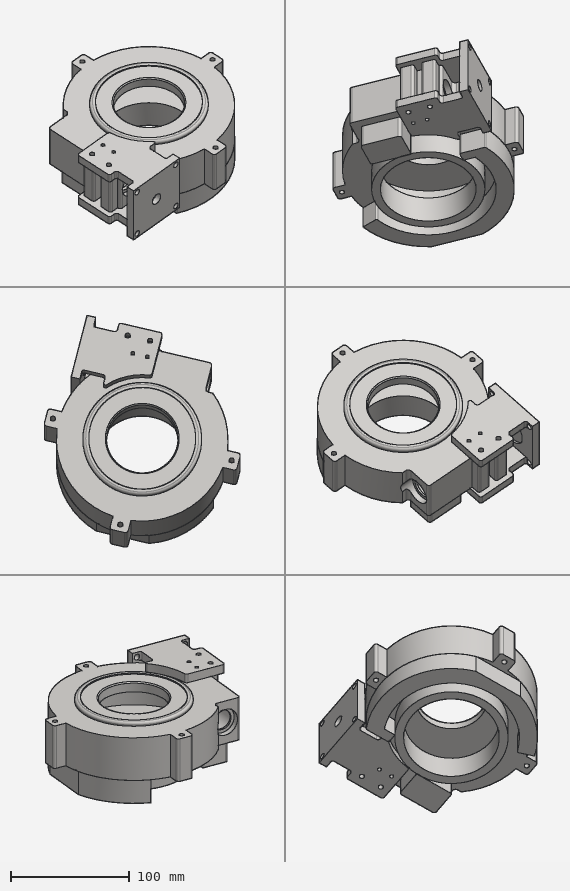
import cadquery as cq
import math

base_height = 21.5
lid_thickness = 5.0
wall_ring_height = 30.0
plate_thickness = 8.1
housing_height = wall_ring_height + 2 * lid_thickness
housing_bottom = base_height
housing_top = housing_bottom + housing_height
mid_height = housing_bottom + housing_height / 2
corner_radius = 2.5

disc_radius = 72.2
tab_reach = 83.5
tab_width = 15.5
tab_hole_distance = 77.5
screw_hole_diameter = 4.2
box_left = -41.1
box_right = 42.5
box_front = -79.5
shoulder_y = -54.0
inner_corner_radius = 3.2

lug_centers_x = (13.8, 33.2)
lug_width = 12.5
lug_front = -88.2
lug_hole_y = -83.8
lug_corner_radius = 2.1

rim_diameter = 100.0
rim_height = 3.5
rim_top = housing_top + rim_height
rim_recess_diameter = 90.0
rim_recess_depth = 1.0
top_opening_diameter = 60.0
opening_chamfer = 1.0
cavity_radius = 63.2
cavity_floor = housing_bottom + lid_thickness
cavity_ceiling = 54.7
bottom_opening_diameter = 80.5

overall_depth = 176.5
bracket_bottom = housing_bottom - plate_thickness
bracket_top = housing_top + plate_thickness
bracket_front = tab_reach - overall_depth
bracket_back = bracket_front + bracket_top - bracket_bottom
bracket_left = 5.3
motor_plate_front = 63.2
motor_plate_thickness = 7.5
motor_plate_back = motor_plate_front + motor_plate_thickness
worm_y = (bracket_front + bracket_back) / 2
flange_right = 42.9
notch_depth = 8.5
neck_front = bracket_front + notch_depth
neck_back = bracket_back - notch_depth
neck_overlap = 8.8
notch_radius = 2.0
plate_corner_radius = 2.1
horn_radius = 1.0
rim_clearance_radius = 54.7
motor_recess_diameter = 30.0
motor_recess_depth = 2.0
motor_shaft_diameter = 10.0
motor_hole_diameter = 5.3
motor_hole_spacing = 47.1
plate_hole_diameter = 3.2
plate_hole_y = -69.5
plate_holes_x = (12.7, 25.2)

seat_diameter = 24.0
seat_depth = 5.5
bearing_bore_diameter = 18.0
chamber_half_length = 33.9
chamber_diameter = 26.5

base_radius = 72.3
base_ring_radius = 47.6
base_ring_lift = 0.5
base_inner_radius = 57.2
base_back = 68.6
base_box_left = -33.7
base_box_right = 2.6
base_box_front = -72.3
base_box_back = -47.3
foot_left = 40.8
foot_front = -33.7
foot_back = -24.7
foot_corner_radius = 1.4
heel_angle = 160.0


def block(x0, x1, y0, y1, z0, z1):
    """Axis-aligned block between two opposite corners."""
    return cq.Workplane("XY").box(x1 - x0, y1 - y0, z1 - z0, centered=False).translate((x0, y0, z0))


def upright(points, diameter, z0, z1):
    """Vertical cylinders at the given points."""
    return cq.Workplane("XY").workplane(offset=z0).pushPoints(points).circle(diameter / 2).extrude(z1 - z0)


def along_x(diameter, x0, x1, y=worm_y, z=mid_height):
    """Cylinder parallel to the X axis."""
    return cq.Workplane("YZ", origin=(x0, y, z)).circle(diameter / 2).extrude(x1 - x0)


def fillet_edge_near(body, point, radius):
    """Round the edge whose middle lies nearest to the point."""
    return body.edges(cq.selectors.NearestToPointSelector(point)).fillet(radius)


def screw_holes(z0, z1):
    """Vertical screw holes shared by the lugs, the box and the flange plates."""
    lug_holes = upright([(x, lug_hole_y) for x in lug_centers_x], screw_hole_diameter, z0, z1)
    plate_holes = upright([(x, plate_hole_y) for x in plate_holes_x], plate_hole_diameter, z0, z1)
    return lug_holes.add(plate_holes).combine()


def tab(angle):
    """Mounting tab on the disc edge, pointing at the given angle."""
    arm = block(0, tab_reach, -tab_width / 2, tab_width / 2, housing_bottom, housing_top)
    arm = arm.edges("|Z and >X").fillet(corner_radius)
    hole = upright([(tab_hole_distance, 0)], screw_hole_diameter, housing_bottom, housing_top)
    return arm.cut(hole).rotate((0, 0, 0), (0, 0, 1), angle)


def shell():
    """Disc with the worm box, whose shoulders blend into the box sides."""
    body = upright([(0, 0)], 2 * disc_radius, housing_bottom, housing_top)
    body = body.cut(block(-disc_radius, disc_radius, -disc_radius, shoulder_y, housing_bottom, housing_top))
    body = body.union(block(box_left, box_right, box_front, 0, housing_bottom, housing_top))
    for side_x in (box_left, box_right):
        body = fillet_edge_near(body, (side_x, shoulder_y, mid_height), inner_corner_radius)
    return body.edges("|Z and <Y").fillet(corner_radius)


def lug(center_x):
    """Lug standing proud of the box front."""
    half = lug_width / 2
    bar = block(center_x - half, center_x + half, lug_front, box_front, housing_bottom, housing_top)
    return bar.edges("|Z and <Y").fillet(lug_corner_radius)


def rim():
    """Rounded rim with a shallow recess in its top."""
    ring = upright([(0, 0)], rim_diameter, housing_top, rim_top)
    ring = ring.edges(">Z").fillet(corner_radius)
    return ring.cut(upright([(0, 0)], rim_recess_diameter, rim_top - rim_recess_depth, rim_top))


def outer_base_ring():
    """Partial ring that ends in a radial heel on the left and a squared foot at the front right."""
    ring = upright([(0, 0)], 2 * base_radius, 0, base_height)
    ring = ring.cut(upright([(0, 0)], 2 * base_inner_radius, 0, base_height))
    foot = block(foot_left, base_radius, foot_front, foot_back, 0, base_height)
    foot = foot.intersect(upright([(0, 0)], 2 * base_radius, 0, base_height))
    ring = ring.cut(block(-base_radius, base_radius, base_back, base_radius, 0, base_height))
    turn = math.radians(heel_angle)
    reach = 2 * base_radius
    gap = (
        cq.Workplane("XY")
        .moveTo(0, foot_front)
        .lineTo(0, 0)
        .lineTo(reach * math.cos(turn), reach * math.sin(turn))
        .lineTo(-reach, -reach)
        .lineTo(reach, -reach)
        .lineTo(reach, foot_front)
        .close()
        .extrude(base_height)
    )
    ring = ring.cut(gap).union(foot)
    ring = ring.edges("|Z and <Y").fillet(foot_corner_radius)
    heel_inner_x = base_inner_radius * math.cos(turn)
    heel_inner_y = base_inner_radius * math.sin(turn)
    return fillet_edge_near(ring, (heel_inner_x, heel_inner_y, base_height / 2), foot_corner_radius)


def base():
    """Base below the housing: an inner ring, a partial outer ring and a separate front block."""
    box = block(base_box_left, base_box_right, base_box_front, base_box_back, 0, base_height)
    box = box.edges("|Z and <Y").fillet(corner_radius).edges("|Z and >Y").fillet(foot_corner_radius)
    inner_ring = upright([(0, 0)], 2 * base_ring_radius, base_ring_lift, base_height)
    return outer_base_ring().union(box).union(inner_ring)


def worm_bores():
    """Bearing seats and bores along the worm axis, running out past the box sides."""
    bores = along_x(bearing_bore_diameter, box_left, box_right)
    bores = bores.union(along_x(seat_diameter, -disc_radius, box_left + seat_depth))
    return bores.union(along_x(seat_diameter, box_right - seat_depth, disc_radius))


def openings():
    """Round cavity with its top and bottom openings, and the chamber around the worm."""
    recess_floor = rim_top - rim_recess_depth
    top_radius = top_opening_diameter / 2
    cuts = upright([(0, 0)], 2 * cavity_radius, cavity_floor, cavity_ceiling)
    cuts = cuts.union(along_x(chamber_diameter, -chamber_half_length, chamber_half_length))
    cuts = cuts.union(upright([(0, 0)], bottom_opening_diameter, 0, cavity_floor))
    cuts = cuts.union(upright([(0, 0)], top_opening_diameter, cavity_ceiling, recess_floor))
    chamfer = (
        cq.Workplane("XY")
        .workplane(offset=recess_floor - opening_chamfer)
        .circle(top_radius)
        .workplane(offset=opening_chamfer)
        .circle(top_radius + opening_chamfer)
        .loft()
    )
    return cuts.union(chamfer)


def make_housing():
    """Worm gear housing with tabs, lugs, rim and base."""
    body = shell()
    for angle in (0, 90, 180):
        body = body.union(tab(angle))
    for center_x in lug_centers_x:
        body = body.union(lug(center_x))
    body = body.union(rim()).union(base())
    return body.cut(openings()).cut(worm_bores()).cut(screw_holes(housing_bottom, housing_top))


def flange_plate(z0):
    """Plate that lies on the housing, hollowed around the rim and necked down to the motor plate."""
    z1 = z0 + plate_thickness
    plate = block(bracket_left, flange_right, bracket_front, bracket_back, z0, z1)
    plate = plate.cut(upright([(0, 0)], 2 * rim_clearance_radius, z0, z1))
    plate = plate.edges("|Z and >Y").fillet(horn_radius)
    plate = plate.edges("|Z and (<X or <Y)").fillet(plate_corner_radius)
    neck = block(flange_right - neck_overlap, motor_plate_front, neck_front, neck_back, z0, z1)
    return plate.union(neck)


def motor_mount_cuts():
    """Shallow round recess, shaft hole and four corner holes of the motor plate."""
    cuts = along_x(motor_recess_diameter, motor_plate_front, motor_plate_front + motor_recess_depth)
    cuts = cuts.union(along_x(motor_shaft_diameter, motor_plate_front, motor_plate_back))
    offset = motor_hole_spacing / 2
    for y in (worm_y - offset, worm_y + offset):
        for z in (mid_height - offset, mid_height + offset):
            cuts = cuts.union(along_x(motor_hole_diameter, motor_plate_front, motor_plate_back, y, z))
    return cuts


def make_bracket():
    """Motor bracket that clamps the housing between its two flange plates."""
    body = block(motor_plate_front, motor_plate_back, bracket_front, bracket_back, bracket_bottom, bracket_top)
    for z0 in (bracket_bottom, housing_top):
        body = body.union(flange_plate(z0))
        plate_middle = z0 + plate_thickness / 2
        for x, radius in ((flange_right, corner_radius), (motor_plate_front, notch_radius)):
            for y in (neck_front, neck_back):
                body = fillet_edge_near(body, (x, y, plate_middle), radius)
    return body.cut(screw_holes(bracket_bottom, bracket_top)).cut(motor_mount_cuts())


housing = make_housing()
bracket = make_bracket()
result = cq.Compound.makeCompound([housing.val(), bracket.val()])